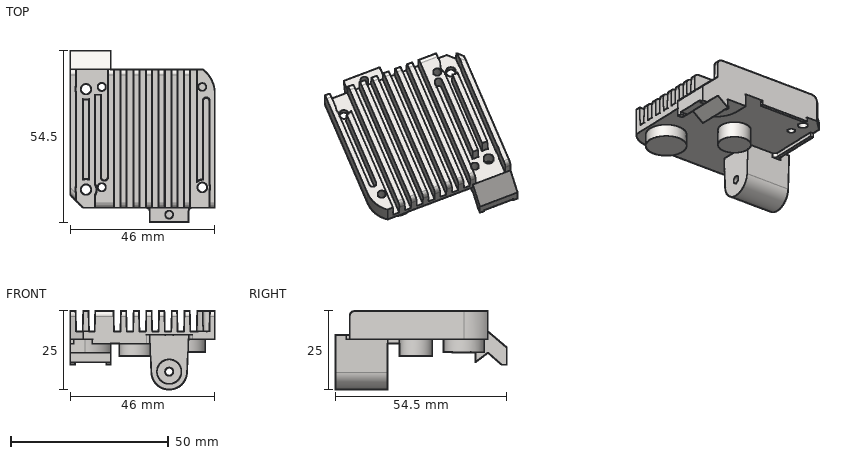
import cadquery as cq
import math


total_length = 54.5
total_height = 25.0

plate_width = 46.0
plate_depth = 44.0
fin_top = 9.0
fin_floor = 2.5
draft_angle = 1.5
draft_shift = (fin_top - fin_floor) * math.tan(math.radians(draft_angle))
fin_width = 1.75
first_fin_x = 12.9
right_fin_x = 41.2
fin_count = 7
fin_pitch = (right_fin_x - first_fin_x) / fin_count
end_round = 1.65
front_chamfer = 4.1
overrun = 0.55

side_wall = 1.65
left_wall = 1.75
short_rib_x = 4.95
block_left = 7.9
block_slot_left = block_left + fin_width
block_slot_right = first_fin_x - fin_width / 2
block_rib_back = 35.9
left_slot_front = 8.55
right_fin_left = right_fin_x - fin_width / 2
right_slot_left = right_fin_left + fin_width
right_slot_right = plate_width - side_wall
right_slot_back = 35.1

screw_diameter = 3.2
screw_holes = [(5.0, 5.8), (5.0, 37.7)]
screw_clearance_radius = 3.45
right_screw = (41.95, 6.5)
right_screw_diameter = 3.0
right_clearance_radius = 2.55
pin_diameter = 2.5
pin_holes = [(10.05, 6.55), (10.05, 38.4)]
blind_pin = (41.95, 38.4)

middle_boss = (20.75, 21.1)
middle_boss_diameter = 10.5
middle_boss_bottom = -5.35
corner_boss = (36.45, 36.35)
corner_boss_diameter = 13.0
corner_boss_bottom = -4.1
back_corner_radius = plate_width - corner_boss[0]

rim_bottom = -1.4
rim_thickness = 1.1
left_rim_front = 8.0
left_rim_back = 25.9
front_rim_left = 7.05

tab_x = 31.45
tab_front = -4.5
tab_back = 12.1
tab_top = 1.4
tab_half_width = 6.2
tab_radius = 5.7
bore_z = fin_top - total_height + tab_radius
bore_diameter = 7.8
bore_end = 9.8
tab_fillet = 1.1
tab_pin_y = -2.2

hook_width = 12.9
hook_back = total_length + tab_front
hook_tip_top = -2.6
hook_tip_bottom = -8.1
hook_tip_front = 48.3
hook_root = -4.3
spike_front = 39.95
spike_bottom = -7.35
hook_front = 32.7
hook_flat_width = 4.6
hook_corner_radius = 8.9
hook_leg = 1.5


def box(x0, x1, y0, y1, z0, z1):
    return cq.Workplane("XY").box(x1 - x0, y1 - y0, z1 - z0, centered=False).translate((x0, y0, z0))


def cylinder(position, diameter, z0, z1):
    return cq.Workplane("XY", origin=(*position, z0)).circle(diameter / 2).extrude(z1 - z0)


def along_y(points, y0, y1):
    """Prism with an XZ outline, running from y0 to y1."""
    return cq.Workplane("XZ", origin=(0, y0, 0)).polyline(points).close().extrude(y0 - y1)


def groove(left, right, y0=-overrun, y1=plate_depth + overrun):
    """Drafted cutter between the fins; left and right are its sides at the fin tops."""
    outline = [
        (left + draft_shift, fin_floor),
        (right - draft_shift, fin_floor),
        (right, fin_top),
        (left, fin_top),
    ]
    return along_y(outline, y0, y1)


def round_pocket(position, top_radius):
    """Drafted round cutter from the fin tops down to the floor."""
    return (
        cq.Workplane("XY", origin=(*position, fin_floor))
        .circle(top_radius - draft_shift)
        .workplane(offset=fin_top - fin_floor)
        .circle(top_radius)
        .loft()
    )


def make_blank():
    """Full-height slab with chamfered front corner, round back corner and rounded fin ends."""
    rise = plate_depth - corner_boss[1]
    arc_start_x = corner_boss[0] + math.sqrt(back_corner_radius**2 - rise**2)
    middle_angle = math.asin(rise / back_corner_radius) / 2
    arc_middle = (
        corner_boss[0] + back_corner_radius * math.cos(middle_angle),
        corner_boss[1] + back_corner_radius * math.sin(middle_angle),
    )
    blank = (
        cq.Workplane("XY")
        .moveTo(0, front_chamfer)
        .lineTo(0, plate_depth)
        .lineTo(arc_start_x, plate_depth)
        .threePointArc(arc_middle, (plate_width, corner_boss[1]))
        .lineTo(plate_width, 0)
        .lineTo(front_chamfer, 0)
        .close()
        .extrude(fin_top)
    )
    front_edges = cq.selectors.BoxSelector(
        (-overrun, -overrun, fin_top - overrun), (plate_width + overrun, front_chamfer, fin_top + overrun)
    )
    blank = blank.edges(front_edges).edges("not(|Y)").fillet(end_round)
    last_groove = right_fin_left - fin_width
    corner = (plate_depth - end_round, fin_top - end_round)
    back_round = box(-overrun, last_groove, corner[0], plate_depth, corner[1], fin_top).cut(
        cq.Workplane("YZ", origin=(-overrun, 0, 0))
        .center(*corner)
        .circle(end_round)
        .extrude(last_groove + overrun)
    )
    return blank.cut(back_round)


def cut_fins(body):
    """Straight grooves, then the shorter slots and pockets at either side."""
    for index in range(fin_count):
        left = first_fin_x + index * fin_pitch + fin_width / 2
        body = body.cut(groove(left, left + fin_pitch - fin_width))

    slot_radius = (block_slot_right - block_slot_left) / 2
    slot_end = left_slot_front + slot_radius
    body = body.cut(groove(left_wall, block_left))
    body = body.cut(groove(left_wall, block_slot_right, y0=block_rib_back))
    body = body.cut(groove(block_slot_left, block_slot_right, y0=slot_end))
    body = body.cut(round_pocket((block_slot_left + slot_radius, slot_end), slot_radius))

    slot_radius = (right_slot_right - right_slot_left) / 2
    slot_end = right_slot_back - slot_radius
    body = body.cut(groove(right_slot_left, right_slot_right, y1=slot_end))
    body = body.cut(round_pocket((right_slot_left + slot_radius, slot_end), slot_radius))
    body = body.cut(groove(right_fin_left - fin_width, right_slot_right, y1=right_screw[1]))
    return body.cut(round_pocket(right_screw, right_clearance_radius))


def add_short_rib(body):
    """Rib between the two left screws; the screw head clearances hollow its ends."""
    half_width = fin_width / 2
    outline = [
        (short_rib_x - half_width - draft_shift, fin_floor),
        (short_rib_x + half_width + draft_shift, fin_floor),
        (short_rib_x + half_width, fin_top),
        (short_rib_x - half_width, fin_top),
    ]
    body = body.union(along_y(outline, screw_holes[0][1], screw_holes[1][1]))
    for hole in screw_holes:
        body = body.cut(round_pocket(hole, screw_clearance_radius))
    return body


def make_tab():
    """Hinge tab: drafted sides that run tangent into a round lower end."""
    height = tab_top - bore_z
    reach = math.hypot(tab_half_width, height)
    lean = math.asin(tab_radius / reach) - math.atan2(tab_half_width, height)
    touch_x = tab_radius * math.cos(lean)
    touch_z = bore_z + tab_radius * math.sin(lean)
    return (
        cq.Workplane("XZ", origin=(tab_x, tab_front, 0))
        .moveTo(-tab_half_width, tab_top)
        .lineTo(-touch_x, touch_z)
        .threePointArc((0, bore_z - tab_radius), (touch_x, touch_z))
        .lineTo(tab_half_width, tab_top)
        .close()
        .extrude(tab_front - tab_back)
    )


def make_root_fillet(side, y_wall, y_direction, bottom):
    """Concave corner filler between a tab side (-1 left, 1 right) and a wall along X."""
    x_face = tab_x + side * tab_half_width
    x_centre = x_face + side * tab_fillet
    y_centre = y_wall + y_direction * tab_fillet
    x_inside = x_face - side * tab_fillet
    block = box(
        min(x_inside, x_centre), max(x_inside, x_centre),
        min(y_wall, y_centre), max(y_wall, y_centre),
        bottom, tab_top,
    )
    return block.cut(cylinder((x_centre, y_centre), 2 * tab_fillet, bottom, tab_top))


def make_hook():
    """Hook with a V notch, a round front corner and a tip relieved between two legs."""
    profile = [
        (hook_front, 0),
        (hook_front, hook_root),
        (spike_front, hook_root),
        (spike_front, spike_bottom),
        (plate_depth, hook_root),
        (hook_tip_front, hook_tip_bottom),
        (hook_back, hook_tip_bottom),
        (hook_back, hook_tip_top),
        (plate_depth, fin_floor),
        (plate_depth, 0),
    ]
    hook = cq.Workplane("YZ").polyline(profile).close().extrude(hook_width)
    relief = box(hook_leg, hook_width - hook_leg, plate_depth, hook_back, hook_tip_bottom, spike_bottom)
    hook = hook.cut(relief)

    centre_y = hook_front + hook_corner_radius
    corner = box(hook_flat_width, hook_width, hook_front, centre_y, hook_root, 0)
    round_end = cylinder((hook_flat_width, centre_y), 2 * hook_corner_radius, hook_root, 0)
    return hook.cut(corner.cut(round_end))


def drill(body):
    """Vertical holes, then the stepped bore of the hinge tab."""
    bottom = hook_tip_bottom
    for hole in screw_holes:
        body = body.cut(cylinder(hole, screw_diameter, bottom, fin_top))
    for hole in pin_holes:
        body = body.cut(cylinder(hole, pin_diameter, bottom, fin_top))
    body = body.cut(cylinder(right_screw, right_screw_diameter, bottom, fin_top))
    body = body.cut(cylinder(blind_pin, pin_diameter, fin_floor, fin_top))
    body = body.cut(cylinder((tab_x, tab_pin_y), pin_diameter, bore_z, tab_top))

    bore = cq.Workplane("XZ", origin=(tab_x, tab_front, bore_z))
    body = body.cut(bore.circle(bore_diameter / 2).extrude(tab_front - bore_end))
    return body.cut(bore.circle(pin_diameter / 2).extrude(tab_front - tab_back))


result = add_short_rib(cut_fins(make_blank()))
result = result.union(box(0, rim_thickness, left_rim_front, left_rim_back, rim_bottom, 0))
result = result.union(box(front_rim_left, tab_x, 0, rim_thickness, rim_bottom, 0))
result = result.union(cylinder(middle_boss, middle_boss_diameter, middle_boss_bottom, 0))
result = result.union(cylinder(corner_boss, corner_boss_diameter, corner_boss_bottom, 0))
result = result.union(make_tab())
result = result.union(make_root_fillet(-1, 0, -1, rim_bottom))
result = result.union(make_root_fillet(-1, rim_thickness, 1, rim_bottom))
result = result.union(make_root_fillet(1, 0, -1, 0))
result = result.union(make_hook())
result = drill(result)